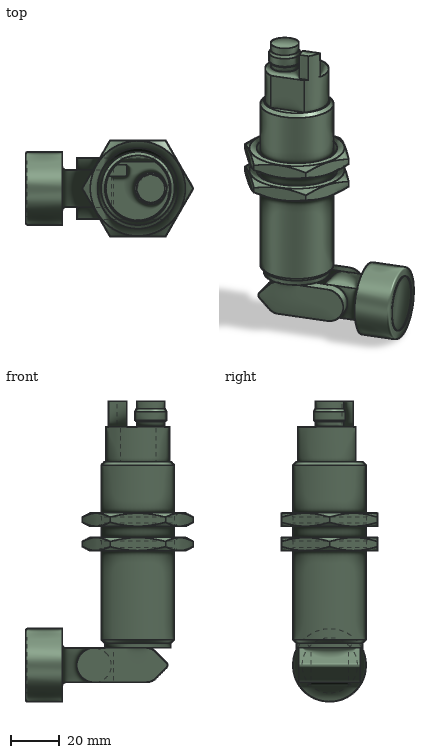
import cadquery as cq
import math

total_height = 123.3
plug_shoulder_z = 112.7
housing_top_z = 98.5
thread_bottom_z = 24.0

housing_radius = 15.0
housing_chamfer = 1.5
neck_radius = housing_radius - housing_chamfer

nut_across_flats = 39.5
nut_height = 5.5
nut_bottoms_z = (61.9, 71.9)
nut_face_radius = 19.5
nut_corner_drop = 1.7
nut_countersink = 1.5
nut_corner_radius = nut_across_flats / math.sqrt(3)

plug_radius = 13.1
plug_flat_y = 10.9
tab_front_y = 5.0
tab_back_y = 9.7
tab_right_x = -4.5
tab_corner_radius = 0.7
stub_x = 5.3
stub_radius = 5.8
collar_radius = 6.5
stub_foot_chamfer = 0.2
collar_bottom_z = 115.5
collar_top_z = 119.0
collar_lower_slope = 0.7
collar_upper_slope = 1.2

head_radius = housing_radius
head_axis_z = head_radius
head_front_x = -46.0
head_length = 15.0
head_edge_radius = 1.0
face_recess_radius = 11.3
face_recess_depth = 0.4
arm_width = 15.3
arm_height = 14.0
arm_root_fillet = 1.5
pivot_x = -18.0
head_back_x = head_front_x + head_length

fork_width = 25.2
fork_tip_x = 12.8
slot_end_x = -10.1
fork_shoulder_radius = 5.0
fork_tip_radius = 1.5
knuckle_radius = arm_height / 2
fork_top_z = head_axis_z + knuckle_radius

pick_margin = 0.1


def cylinder_z(radius, bottom_z, top_z):
    return cq.Workplane("XY", origin=(0, 0, bottom_z)).circle(radius).extrude(top_z - bottom_z)


def make_housing():
    tube = cylinder_z(housing_radius, thread_bottom_z, housing_top_z)
    tube = tube.faces("<Z or >Z").chamfer(housing_chamfer)
    neck = cylinder_z(neck_radius, fork_top_z, thread_bottom_z)
    return tube.union(neck)


def make_nut(bottom_z):
    top_z = bottom_z + nut_height
    hexagon = (
        cq.Workplane("XY", origin=(0, 0, bottom_z))
        .polygon(6, 2 * nut_corner_radius)
        .extrude(nut_height)
    )
    envelope = (
        cq.Workplane("XZ")
        .moveTo(0, bottom_z)
        .lineTo(nut_face_radius, bottom_z)
        .lineTo(nut_corner_radius, bottom_z + nut_corner_drop)
        .lineTo(nut_corner_radius, top_z - nut_corner_drop)
        .lineTo(nut_face_radius, top_z)
        .lineTo(0, top_z)
        .close()
        .revolve(360, (0, 0), (0, 1))
    )
    countersink_radius = housing_radius + nut_countersink
    bore = (
        cq.Workplane("XZ")
        .moveTo(0, bottom_z)
        .lineTo(countersink_radius, bottom_z)
        .lineTo(housing_radius, bottom_z + nut_countersink)
        .lineTo(housing_radius, top_z - nut_countersink)
        .lineTo(countersink_radius, top_z)
        .lineTo(0, top_z)
        .close()
        .revolve(360, (0, 0), (0, 1))
    )
    return hexagon.intersect(envelope).cut(bore)


def make_plug():
    base = cylinder_z(plug_radius, housing_top_z, plug_shoulder_z)
    flat_side = (
        cq.Workplane("XY", origin=(0, plug_flat_y + plug_radius, housing_top_z))
        .rect(2 * plug_radius, 2 * plug_radius)
        .extrude(plug_shoulder_z - housing_top_z)
    )
    base = base.cut(flat_side)

    tab = (
        cq.Workplane("XY", origin=(0, 0, housing_top_z))
        .moveTo(-plug_radius, tab_front_y)
        .lineTo(tab_right_x, tab_front_y)
        .lineTo(tab_right_x, tab_back_y)
        .lineTo(-plug_radius, tab_back_y)
        .close()
        .extrude(total_height - housing_top_z)
        .edges("|Z and >X")
        .fillet(tab_corner_radius)
        .intersect(cylinder_z(plug_radius, housing_top_z, total_height))
    )

    stub = (
        cq.Workplane("XZ", origin=(stub_x, 0, 0))
        .moveTo(0, plug_shoulder_z)
        .lineTo(stub_radius - stub_foot_chamfer, plug_shoulder_z)
        .lineTo(stub_radius, plug_shoulder_z + stub_foot_chamfer)
        .lineTo(stub_radius, collar_bottom_z - collar_lower_slope)
        .lineTo(collar_radius, collar_bottom_z)
        .lineTo(collar_radius, collar_top_z)
        .lineTo(stub_radius, collar_top_z + collar_upper_slope)
        .lineTo(stub_radius, total_height)
        .lineTo(0, total_height)
        .close()
        .revolve(360, (0, 0), (0, 1))
    )
    return base.union(tab).union(stub)


def make_arm():
    """Bar along X from the back of the face unit that ends in a half round about the pivot."""
    length = pivot_x - head_back_x
    bar = (
        cq.Workplane("XY", origin=(head_back_x + length / 2, 0, head_axis_z))
        .box(length, arm_width, arm_height)
    )
    round_end = (
        cq.Workplane("XZ", origin=(pivot_x, arm_width / 2, head_axis_z))
        .circle(knuckle_radius)
        .extrude(arm_width)
    )
    return bar.union(round_end)


def make_head():
    face_unit = (
        cq.Workplane("YZ", origin=(head_front_x, 0, head_axis_z))
        .circle(head_radius)
        .extrude(head_length)
        .faces("<X")
        .edges()
        .fillet(head_edge_radius)
        .faces("<X")
        .workplane(origin=(head_front_x, 0, head_axis_z))
        .hole(2 * face_recess_radius, face_recess_depth)
    )
    head = face_unit.union(make_arm())
    root_box = cq.selectors.BoxSelector(
        (head_back_x - pick_margin, -arm_width, head_axis_z - arm_height),
        (head_back_x + pick_margin, arm_width, head_axis_z + arm_height),
    )
    return head.edges(root_box).edges("|Y or |Z").fillet(arm_root_fillet)


def make_fork():
    shoulder_x = fork_tip_x - knuckle_radius
    body = (
        cq.Workplane("XZ", origin=(0, fork_width / 2, head_axis_z))
        .moveTo(pivot_x, knuckle_radius)
        .lineTo(shoulder_x, knuckle_radius)
        .lineTo(fork_tip_x, 0)
        .lineTo(shoulder_x, -knuckle_radius)
        .lineTo(pivot_x, -knuckle_radius)
        .threePointArc((pivot_x - knuckle_radius, 0), (pivot_x, knuckle_radius))
        .close()
        .extrude(fork_width)
    )
    body = body.edges("|Y and >X").fillet(fork_tip_radius)
    shoulder_box = cq.selectors.BoxSelector(
        (shoulder_x - pick_margin, -fork_width, 0),
        (shoulder_x + pick_margin, fork_width, 2 * head_axis_z),
    )
    body = body.edges(shoulder_box).edges("|Y").fillet(fork_shoulder_radius)

    fork_left_x = pivot_x - knuckle_radius
    slot = (
        cq.Workplane("XY", origin=((fork_left_x + slot_end_x) / 2, 0, head_axis_z))
        .box(slot_end_x - fork_left_x, arm_width, arm_height)
    )
    return body.cut(slot)


housing = make_housing()
nuts = [make_nut(bottom_z) for bottom_z in nut_bottoms_z]
plug = make_plug()
head = make_head()
fork = make_fork()

result = cq.Compound.makeCompound(
    [housing.val(), *[nut.val() for nut in nuts], plug.val(), head.val(), fork.val()]
)